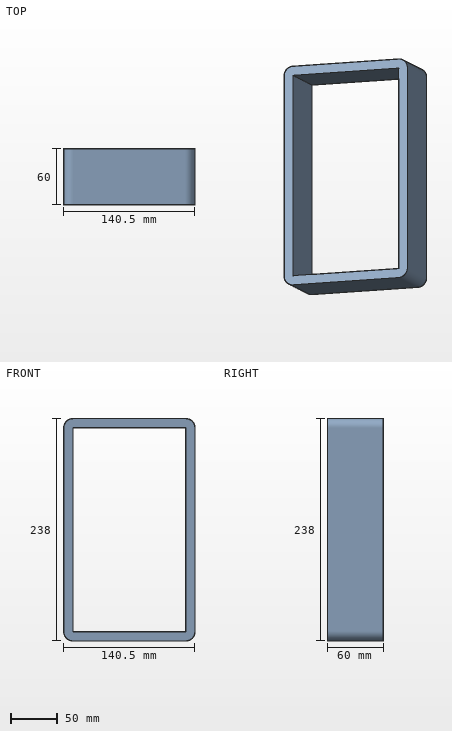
import cadquery as cq

width = 140.5
depth = 60.0
height = 238.0

wall = 10.0
corner_radius = wall

opening_width = width - 2 * wall
opening_height = height - 2 * wall


def make_body():
    """Solid block with its four edges along Y rounded."""
    block = cq.Workplane("XY").box(width, depth, height)
    return block.edges("|Y").fillet(corner_radius)


def make_opening():
    """Sharp-cornered rectangular opening through the full depth."""
    return cq.Workplane("XY").box(opening_width, depth, opening_height)


result = make_body().cut(make_opening())